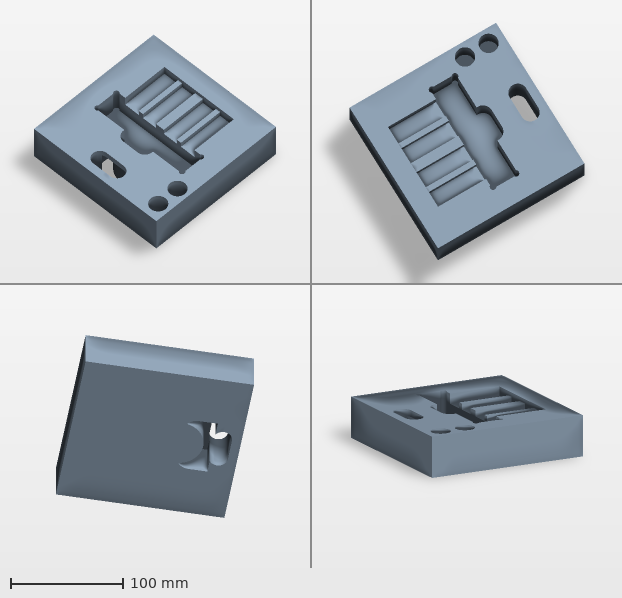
import cadquery as cq

WIDTH = 152.5
DEPTH = 152.4
HEIGHT = 38.1

BACK_BLOCK_DEPTH = 20.0
COMB_BLOCK_DEPTH = 50.0
POCKET_BLOCK_DEPTH = 27.0
BACK_Y = DEPTH / 2
COMB_BACK_Y = BACK_Y - BACK_BLOCK_DEPTH
COMB_FRONT_Y = COMB_BACK_Y - COMB_BLOCK_DEPTH
POCKET_FRONT_Y = COMB_FRONT_Y - POCKET_BLOCK_DEPTH
FRONT_Y = -DEPTH / 2

RECESS_WIDTH = 86.4
RECESS_DEPTH = 9.5
RECESS_FLOOR_Z = HEIGHT - RECESS_DEPTH
RIB_HEIGHT = 5.5
CENTRE_RIB_WIDTH = 9.7
SIDE_RIB_WIDTH = 5.2
SIDE_RIB_X = 23.7

POCKET_WIDTH = 108.4
POCKET_DEPTH = 24.0
FLOOR_Z = HEIGHT - POCKET_DEPTH
RELIEF_RADIUS = 3.0
RELIEF_INSET = 1.6

NOTCH_WIDTH = 35.8
NOTCH_LENGTH = 10.2
NOTCH_CORNER_RADIUS = 9.0

HOLE_DIAMETER = 18.0
HOLE_DEPTH = 24.0
HOLE_X = 63.3
HOLE_YS = (-36.1, -60.6)

SLOT_LENGTH = 38.1
SLOT_WIDTH = 16.9
SLOT_Y = -59.3

CAVITY_WIDTH = 54.8
CAVITY_ROOF = 6.35
CAVITY_BACK_WALL = 2.0
CAVITY_BACK_Y = POCKET_FRONT_Y - CAVITY_BACK_WALL
SLOT_OVERLAP = 1.3
CAVITY_FRONT_Y = SLOT_Y + SLOT_WIDTH / 2 - SLOT_OVERLAP
CAVITY_CORNER_RADIUS = 12.0
ISLAND_RADIUS = 22.8


def box_between(x_range, y_range, z_range):
    """Box spanning the given (low, high) ranges."""
    (x0, x1), (y0, y1), (z0, z1) = x_range, y_range, z_range
    return cq.Workplane("XY").box(x1 - x0, y1 - y0, z1 - z0, centered=False).translate((x0, y0, z0))


def full_width_block(y_low, y_high):
    return box_between((-WIDTH / 2, WIDTH / 2), (y_low, y_high), (0, HEIGHT))


def main_pocket():
    """Pocket volume, shared by the blocks that its corner reliefs run into."""
    half = POCKET_WIDTH / 2
    pocket = box_between((-half, half), (POCKET_FRONT_Y, COMB_FRONT_Y), (FLOOR_Z, HEIGHT))
    relief_x = half - RELIEF_INSET
    relief_centres = [
        (x, y)
        for x in (-relief_x, relief_x)
        for y in (POCKET_FRONT_Y + RELIEF_INSET, COMB_FRONT_Y - RELIEF_INSET)
    ]
    reliefs = (
        cq.Workplane("XY", origin=(0, 0, FLOOR_Z))
        .pushPoints(relief_centres)
        .circle(RELIEF_RADIUS)
        .extrude(POCKET_DEPTH)
    )
    return pocket.union(reliefs)


def rib(x_centre, rib_width):
    return box_between(
        (x_centre - rib_width / 2, x_centre + rib_width / 2),
        (COMB_FRONT_Y, COMB_BACK_Y),
        (RECESS_FLOOR_Z, RECESS_FLOOR_Z + RIB_HEIGHT),
    )


def finger_notch():
    half = NOTCH_WIDTH / 2
    return box_between(
        (-half, half), (POCKET_FRONT_Y - NOTCH_LENGTH, POCKET_FRONT_Y), (FLOOR_Z, HEIGHT)
    ).edges("|Z and <Y").fillet(NOTCH_CORNER_RADIUS)


def bottom_cavity():
    half = CAVITY_WIDTH / 2
    roof_z = HEIGHT - CAVITY_ROOF
    cavity = (
        box_between((-half, half), (CAVITY_FRONT_Y, CAVITY_BACK_Y), (0, roof_z))
        .edges("|Z and >Y")
        .fillet(CAVITY_CORNER_RADIUS)
    )
    island = (
        cq.Workplane("XY").center(0, POCKET_FRONT_Y).circle(ISLAND_RADIUS).extrude(roof_z)
    )
    return cavity.cut(island)


def make_back_block():
    return full_width_block(COMB_BACK_Y, BACK_Y)


def make_comb_block():
    recess = box_between(
        (-RECESS_WIDTH / 2, RECESS_WIDTH / 2),
        (COMB_FRONT_Y, COMB_BACK_Y),
        (RECESS_FLOOR_Z, HEIGHT),
    )
    block = full_width_block(COMB_FRONT_Y, COMB_BACK_Y).cut(recess)
    block = block.union(rib(0, CENTRE_RIB_WIDTH))
    for x_centre in (-SIDE_RIB_X, SIDE_RIB_X):
        block = block.union(rib(x_centre, SIDE_RIB_WIDTH))
    return block.cut(main_pocket())


def make_pocket_block():
    return full_width_block(POCKET_FRONT_Y, COMB_FRONT_Y).cut(main_pocket())


def make_front_block():
    slot = cq.Workplane("XY").center(0, SLOT_Y).slot2D(SLOT_LENGTH, SLOT_WIDTH).extrude(HEIGHT)
    holes = (
        cq.Workplane("XY", origin=(0, 0, HEIGHT))
        .pushPoints([(HOLE_X, y) for y in HOLE_YS])
        .circle(HOLE_DIAMETER / 2)
        .extrude(-HOLE_DEPTH)
    )
    block = full_width_block(FRONT_Y, POCKET_FRONT_Y)
    for opening in (main_pocket(), finger_notch(), holes, slot, bottom_cavity()):
        block = block.cut(opening)
    return block


back_block = make_back_block()
comb_block = make_comb_block()
pocket_block = make_pocket_block()
front_block = make_front_block()

result = cq.Compound.makeCompound(
    [back_block.val(), comb_block.val(), pocket_block.val(), front_block.val()]
)